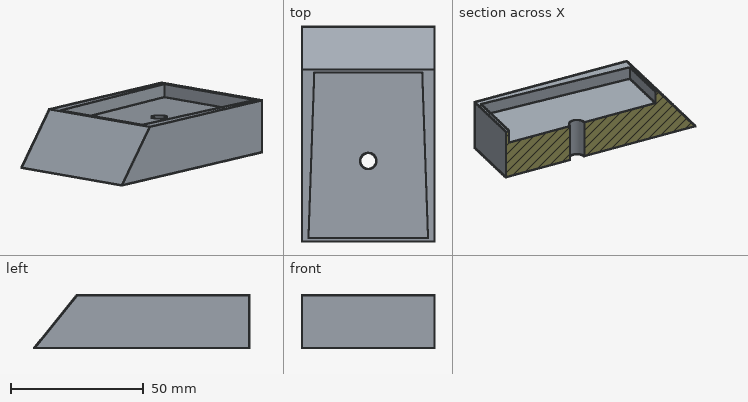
import cadquery as cq

width = 50.0
length = 81.0
height = 20.0
top_length = 64.9

pocket_front_width = 45.0
pocket_back_width = 40.7
pocket_front_wall = 1.4
pocket_length = 62.4
pocket_depth = 5.0

hole_diameter = 6.0
hole_from_front = 30.4


def make_block():
    """Block with its front face on Y = 0 and its back end sloped."""
    side_profile = [(0, 0), (length, 0), (top_length, height), (0, height)]
    return cq.Workplane("YZ").polyline(side_profile).close().extrude(width / 2, both=True)


def make_pocket():
    """Trapezoidal pocket volume, narrowing toward the sloped end."""
    pocket_back = pocket_front_wall + pocket_length
    outline = [
        (-pocket_front_width / 2, pocket_front_wall),
        (pocket_front_width / 2, pocket_front_wall),
        (pocket_back_width / 2, pocket_back),
        (-pocket_back_width / 2, pocket_back),
    ]
    return cq.Workplane("XY", origin=(0, 0, height)).polyline(outline).close().extrude(-pocket_depth)


def make_hole():
    """Vertical cylinder through the full height."""
    return cq.Workplane("XY").center(0, hole_from_front).circle(hole_diameter / 2).extrude(height)


result = make_block().cut(make_pocket()).cut(make_hole())